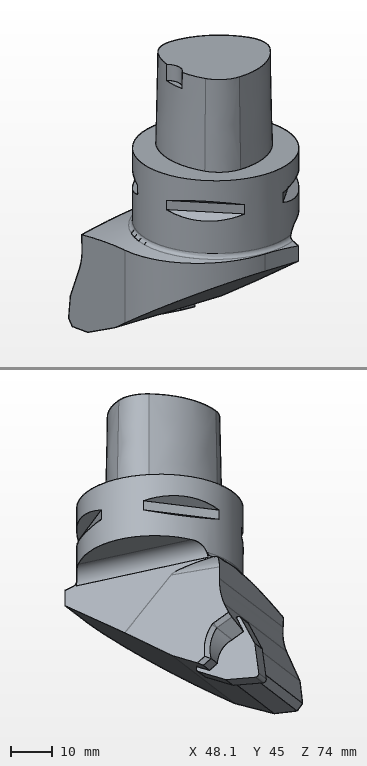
import cadquery as cq
import math

FLANGE_RADIUS = 20.0
FLANGE_HEIGHT = 19.0
NECK_RADIUS = 1.2
SHOULDER_ANGLE = 15.0
FAR = 60.0

SHANK_HEIGHT = 24.0
SHANK_LOBE_REACH = 14.9
SHANK_SIDE_REACH = 13.15
SHANK_LOBE_RADIUS = 8.5
SHANK_TAPER = 0.5
NOTCH_RADIUS = 4.0
NOTCH_CENTER_Y = -15.0
NOTCH_DEPTH = 4.2

SLOT_COUNT = 4
SLOT_FLOOR_DISTANCE = 17.6
SLOT_FLOOR_HEIGHT = 2.4
SLOT_MOUTH_HEIGHT = 5.2
SLOT_CENTER_Z = -8.0

HEAD_FRONT_Y = -25.0
HEAD_BACK_Y = 9.0
HEAD_RIGHT_X = 21.07
HEAD_LEFT_X = -20.5
HEAD_CORNER_RADIUS = 24.0
HEAD_WAIST_RADIUS = 14.0
WAIST_TOP = (-20.2, -25.7)
WAIST_BOTTOM = (-21.1, -32.2)
SEAT_LEFT_CORNER = (-24.8, -40.8)
NOSE_UPPER_CORNER = (-25.5, -46.8)
NOSE_LOWER_CORNER = (-24.0, -48.5)
SEAT_BOTTOM_CORNER = (-17.8, -47.9)
UNDERSIDE_CORNER = (-7.1, -43.0)
UNDERSIDE_RIGHT_Z = -24.7

RELIEF_RADIUS = 4.0
RELIEF_TOP_Z = -16.5
RELIEF_SLOPE = 4.0

INSERT_INSCRIBED_RADIUS = 12.7 / 2
INSERT_THICKNESS = 4.76
INSERT_CORNER_ANGLE = 80.0
INSERT_NOSE_RADIUS = 0.8
INSERT_TILT = 0.1
INSERT_TIP = (-27.06, 0.1, -50.07)

CLAMP_HEIGHT = 4.2
CLAMP_FACE_TOP_Z = -18.2
POCKET_REACH = 10.0
POCKET_UPPER_END_X = 9.8
POCKET_UPPER_CORNER = (12.1, -2.8)
POCKET_HOLLOW = (12.6, 0.6)
POCKET_LOWER_CORNER = (11.2, 3.8)
POCKET_LOWER_END_X = 12.4
POCKET_UPPER_LEAN = 3.4
POCKET_LOWER_LEAN = 0.3
POCKET_RIM_DEPTH = 0.7
POCKET_RIM_FLARE = 60.0

rake_plane = cq.Plane(
    origin=INSERT_TIP,
    xDir=(1, 2 * INSERT_TILT, 1),
    normal=(-INSERT_TILT, 1, -INSERT_TILT),
)


def polar(radius, angle):
    return (radius * math.cos(angle), radius * math.sin(angle))


def draw_shank_section(plane, inset):
    """Three-lobed outline of six tangent arcs, one lobe towards +Y, shrunk evenly by inset."""
    lobe_center = SHANK_LOBE_REACH - SHANK_LOBE_RADIUS
    gap = SHANK_SIDE_REACH - SHANK_LOBE_RADIUS
    side_center = (lobe_center**2 - gap**2) / (2 * gap - lobe_center)
    half_sweep = math.atan2(
        side_center * math.sin(math.pi / 3),
        lobe_center + side_center * math.cos(math.pi / 3),
    )
    lobe_radius = SHANK_LOBE_RADIUS - inset
    joint_x = lobe_center + lobe_radius * math.cos(half_sweep)
    joint_y = lobe_radius * math.sin(half_sweep)
    joint_reach = math.hypot(joint_x, joint_y)
    joint_angle = math.atan2(joint_y, joint_x)

    first_lobe = math.pi / 2
    section = plane.moveTo(*polar(joint_reach, first_lobe - joint_angle))
    for i in range(3):
        lobe = first_lobe + i * 2 * math.pi / 3
        side = lobe + math.pi / 3
        next_lobe = lobe + 2 * math.pi / 3
        section = section.threePointArc(
            polar(SHANK_LOBE_REACH - inset, lobe),
            polar(joint_reach, lobe + joint_angle),
        ).threePointArc(
            polar(SHANK_SIDE_REACH - inset, side),
            polar(joint_reach, next_lobe - joint_angle),
        )
    return section.close()


def make_shank():
    """Tapered three-lobed shank with a round notch at the top of its -Y side."""
    base = draw_shank_section(cq.Workplane("XY"), 0)
    shank = draw_shank_section(base.workplane(offset=SHANK_HEIGHT), SHANK_TAPER).loft(ruled=True)
    notch = (
        cq.Workplane("XY", origin=(0, NOTCH_CENTER_Y, SHANK_HEIGHT - NOTCH_DEPTH))
        .circle(NOTCH_RADIUS)
        .extrude(FAR)
    )
    return shank.cut(notch)


def make_flange_envelope():
    """Flange cylinder running through the neck fillet into the conical shoulder."""
    slope = math.radians(SHOULDER_ANGLE)
    tangent = NECK_RADIUS * math.tan((math.pi / 2 - slope) / 2)
    center_r = FLANGE_RADIUS + NECK_RADIUS
    fillet_mid = (math.pi + math.pi * 1.5 - slope) / 2
    cone_start_r = FLANGE_RADIUS + tangent * math.cos(slope)
    cone_start_z = -FLANGE_HEIGHT - tangent - tangent * math.sin(slope)
    cone_end_z = cone_start_z - (FAR - cone_start_r) * math.tan(slope)
    return (
        cq.Workplane("XZ")
        .moveTo(0, 0)
        .lineTo(FLANGE_RADIUS, 0)
        .lineTo(FLANGE_RADIUS, -FLANGE_HEIGHT)
        .threePointArc(
            (
                center_r + NECK_RADIUS * math.cos(fillet_mid),
                -FLANGE_HEIGHT + NECK_RADIUS * math.sin(fillet_mid),
            ),
            (cone_start_r, cone_start_z),
        )
        .lineTo(FAR, cone_end_z)
        .lineTo(FAR, -FAR)
        .lineTo(0, -FAR)
        .close()
        .revolve(360, (0, 0, 0), (0, 1, 0))
    )


def make_head_block():
    """Side profile of the head, trimmed by its plan outline with one rounded side."""
    side = (
        cq.Workplane("XZ", origin=(0, HEAD_BACK_Y, 0))
        .moveTo(HEAD_RIGHT_X, -FLANGE_HEIGHT)
        .lineTo(HEAD_LEFT_X, -FLANGE_HEIGHT)
        .lineTo(*WAIST_TOP)
        .radiusArc(WAIST_BOTTOM, HEAD_WAIST_RADIUS)
        .lineTo(*SEAT_LEFT_CORNER)
        .lineTo(*NOSE_UPPER_CORNER)
        .lineTo(*NOSE_LOWER_CORNER)
        .lineTo(*SEAT_BOTTOM_CORNER)
        .lineTo(*UNDERSIDE_CORNER)
        .lineTo(HEAD_RIGHT_X, UNDERSIDE_RIGHT_Z)
        .close()
        .extrude(HEAD_BACK_Y - HEAD_FRONT_Y)
    )
    arc_x = HEAD_RIGHT_X - HEAD_CORNER_RADIUS
    arc_y = HEAD_FRONT_Y + HEAD_CORNER_RADIUS
    diagonal = HEAD_CORNER_RADIUS / math.sqrt(2)
    plan = (
        cq.Workplane("XY", origin=(0, 0, -FAR))
        .moveTo(-FAR, HEAD_FRONT_Y)
        .lineTo(arc_x, HEAD_FRONT_Y)
        .threePointArc((arc_x + diagonal, arc_y - diagonal), (HEAD_RIGHT_X, arc_y))
        .lineTo(HEAD_RIGHT_X, HEAD_BACK_Y)
        .lineTo(-FAR, HEAD_BACK_Y)
        .close()
        .extrude(FAR)
    )
    return side.intersect(plan)


def make_back_relief():
    """Space behind the head, blended into the flange underside."""
    slope = math.radians(RELIEF_SLOPE)
    center_y = HEAD_BACK_Y + RELIEF_RADIUS
    center_z = RELIEF_TOP_Z - RELIEF_RADIUS
    mid = (math.pi + math.pi / 2 + slope) / 2
    end = math.pi / 2 + slope
    end_y = center_y + RELIEF_RADIUS * math.cos(end)
    end_z = center_z + RELIEF_RADIUS * math.sin(end)
    return (
        cq.Workplane("YZ", origin=(-FAR, 0, 0))
        .moveTo(HEAD_BACK_Y, -FAR)
        .lineTo(HEAD_BACK_Y, center_z)
        .threePointArc(
            (center_y + RELIEF_RADIUS * math.cos(mid), center_z + RELIEF_RADIUS * math.sin(mid)),
            (end_y, end_z),
        )
        .lineTo(FAR, end_z + (FAR - end_y) * math.tan(slope))
        .lineTo(FAR, -FAR)
        .close()
        .extrude(2 * FAR)
    )


def make_gripper_slot(angle):
    """Flat-bottomed slot across the flange, wider at its mouth."""
    floor = SLOT_FLOOR_HEIGHT / 2
    mouth = SLOT_MOUTH_HEIGHT / 2
    return (
        cq.Workplane("XZ", origin=(0, FLANGE_RADIUS, SLOT_CENTER_Z))
        .moveTo(SLOT_FLOOR_DISTANCE, -floor)
        .lineTo(FLANGE_RADIUS, -mouth)
        .lineTo(FLANGE_RADIUS, mouth)
        .lineTo(SLOT_FLOOR_DISTANCE, floor)
        .close()
        .extrude(2 * FLANGE_RADIUS)
        .rotate((0, 0, 0), (0, 0, 1), angle)
    )


def make_insert():
    """Trigon insert: three rounded sharp corners alternating with three blunt ones."""
    half_corner = math.radians(INSERT_CORNER_ANGLE / 2)
    sharp = INSERT_INSCRIBED_RADIUS / math.sin(half_corner)
    blunt = INSERT_INSCRIBED_RADIUS / math.cos(half_corner - math.pi / 6)
    outline = []
    for i in range(6):
        reach = sharp if i % 2 == 0 else blunt
        a = math.pi + i * math.pi / 3
        outline.append((sharp + reach * math.cos(a), reach * math.sin(a)))
    insert = cq.Workplane(rake_plane).polyline(outline).close().extrude(-INSERT_THICKNESS)
    for i in range(3):
        a = math.pi + i * 2 * math.pi / 3
        corner = rake_plane.toWorldCoords(
            (sharp + sharp * math.cos(a), sharp * math.sin(a), -INSERT_THICKNESS / 2)
        )
        insert = insert.edges(cq.selectors.NearestToPointSelector(corner)).fillet(INSERT_NOSE_RADIUS)
    return insert


def make_clamp_clearance():
    """Space above the sloping clamp face, which runs out upwards in a round corner."""
    face_plane = cq.Plane(
        origin=rake_plane.toWorldCoords((0, 0, CLAMP_HEIGHT)),
        xDir=(1, INSERT_TILT, 0),
        normal=rake_plane.zDir,
    )
    top_y = INSERT_TIP[2] - CLAMP_FACE_TOP_Z
    return (
        cq.Workplane(face_plane)
        .center(0, top_y + FAR)
        .box(2 * FAR, 2 * FAR, FAR, centered=(True, True, False))
        .edges(cq.selectors.NearestToPointSelector(face_plane.toWorldCoords((0, top_y, 0))))
        .fillet(RELIEF_RADIUS)
    )


def draw_pocket_outline(plane, upper_lean, lower_lean):
    """Pocket outline: straight upper wall, hollow inner wall, straight lower wall.

    Each lean moves its end of the wall away from the insert tip.
    """
    upper_x, upper_y = POCKET_UPPER_CORNER
    hollow_x, hollow_y = POCKET_HOLLOW
    lower_x, lower_y = POCKET_LOWER_CORNER
    hollow_lean = (upper_lean + lower_lean) / 2
    return (
        plane.moveTo(-POCKET_REACH / 2, -POCKET_REACH)
        .lineTo(POCKET_UPPER_END_X + upper_lean, -POCKET_REACH)
        .lineTo(upper_x + upper_lean, upper_y)
        .threePointArc((hollow_x + hollow_lean, hollow_y), (lower_x + lower_lean, lower_y))
        .lineTo(POCKET_LOWER_END_X + lower_lean, POCKET_REACH)
        .lineTo(-POCKET_REACH / 2, POCKET_REACH)
        .close()
    )


def make_chip_pocket():
    """Pocket over the insert tip, opening out towards the clamp face and chamfered there."""
    rim_height = CLAMP_HEIGHT - POCKET_RIM_DEPTH
    floor = draw_pocket_outline(cq.Workplane(rake_plane), 0, 0)
    pocket = draw_pocket_outline(
        floor.workplane(offset=rim_height), POCKET_UPPER_LEAN, POCKET_LOWER_LEAN
    ).loft(ruled=True)
    rim = draw_pocket_outline(
        cq.Workplane(rake_plane).workplane(offset=rim_height), POCKET_UPPER_LEAN, POCKET_LOWER_LEAN
    ).extrude(POCKET_RIM_DEPTH, taper=-POCKET_RIM_FLARE)
    return pocket.union(rim)


flange = cq.Workplane("XY").circle(FLANGE_RADIUS).extrude(-FLANGE_HEIGHT - NECK_RADIUS)
holder = flange.union(make_head_block()).intersect(make_flange_envelope())
holder = holder.cut(make_back_relief())
for i in range(SLOT_COUNT):
    holder = holder.cut(make_gripper_slot((i + 0.5) * 360 / SLOT_COUNT))
holder = holder.union(make_shank())

insert = make_insert()
holder = holder.cut(make_clamp_clearance())
holder = holder.cut(make_chip_pocket()).cut(insert)

result = cq.Compound.makeCompound([holder.val(), insert.val()])